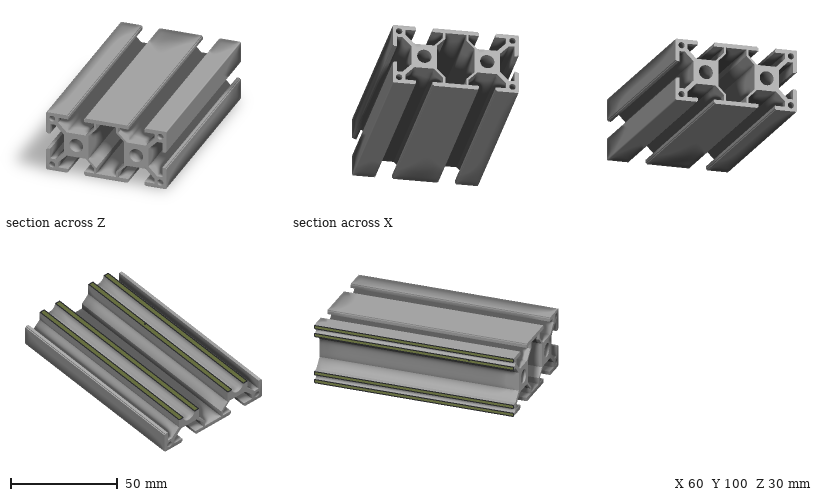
import cadquery as cq
import math

cell = 30.0
width = 2 * cell
height = cell
length = 100.0
corner_radius = 0.5

core_half = 6.1
bore_diameter = 6.8
corner_hole_diameter = 3.0
corner_hole_offset = 12.0

slot_half = 4.0
lip_thickness = 2.0
lip_inner = cell / 2 - lip_thickness
pocket_half = 9.0
rebate = 0.5

rib_thickness = 2.0
rib_offset = rib_thickness / math.sqrt(2)
floor_half = core_half - rib_offset
pocket_shoulder = pocket_half + rib_offset

cavity_wall = 10.0

cell_centers = (-cell / 2, cell / 2)
overcut = 1.0


def section_plane():
    """XZ plane at the +Y end of the bar; extruding from it runs toward -Y."""
    return cq.Workplane("XZ", origin=(0, length / 2, 0))


def prism(points):
    return section_plane().polyline(points).close().extrude(length)


def bar():
    block = cq.Workplane("XY").box(width, length, height)
    return block.edges("|Y").fillet(corner_radius)


def t_slot(center_x, angle):
    """T-slot cutter opening upward from a cell centre, then turned about that centre."""
    face = cell / 2
    right_side = [
        (floor_half, core_half),
        (pocket_half, pocket_shoulder),
        (pocket_half, lip_inner),
        (slot_half, lip_inner),
        (slot_half, face - rebate),
        (slot_half + rebate, face - rebate),
        (slot_half + rebate, face + overcut),
    ]
    left_side = [(-x, z) for x, z in reversed(right_side)]
    cutter = prism(right_side + left_side)
    return cutter.rotate((0, 0, 0), (0, 1, 0), angle).translate((center_x, 0, 0))


def central_cavity():
    """Hollow between the cores, flaring at 45 degrees from each core corner."""
    core_face = cell / 2 - core_half
    wall = cell / 2 - cavity_wall
    upper_right = [
        (core_face, core_half),
        (wall, cavity_wall),
        (wall, lip_inner),
    ]
    upper_left = [(-x, z) for x, z in reversed(upper_right)]
    upper = upper_right + upper_left
    lower = [(-x, -z) for x, z in upper]
    return prism(upper + lower)


def round_holes(points, diameter):
    return section_plane().pushPoints(points).circle(diameter / 2).extrude(length)


slot_places = [(x, angle) for x in cell_centers for angle in (0, 180)]
slot_places += [(cell_centers[0], -90), (cell_centers[1], 90)]

bore_points = [(x, 0) for x in cell_centers]
corner_x = cell / 2 + corner_hole_offset
corner_points = [(x, z) for x in (-corner_x, corner_x) for z in (-corner_hole_offset, corner_hole_offset)]

result = bar()
for slot_center, slot_angle in slot_places:
    result = result.cut(t_slot(slot_center, slot_angle))
result = result.cut(central_cavity())
result = result.cut(round_holes(bore_points, bore_diameter))
result = result.cut(round_holes(corner_points, corner_hole_diameter))